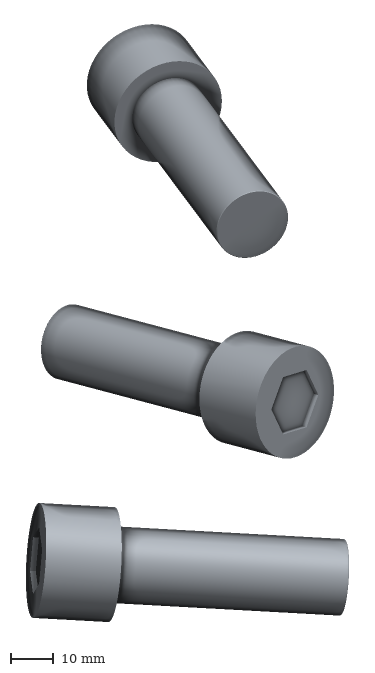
import cadquery as cq
import math

total_length = 73.0
head_diameter = 27.0
shank_diameter = head_diameter / 1.5
head_length = shank_diameter
socket_across_flats = 14.0
socket_depth = 1.4
tip_chamfer = 0.15

socket_across_corners = socket_across_flats / math.cos(math.pi / 6)


def make_head():
    return cq.Workplane("YZ").circle(head_diameter / 2).extrude(head_length)


def make_shank():
    shank = cq.Workplane("YZ").circle(shank_diameter / 2).extrude(total_length)
    return shank.faces(">X").chamfer(tip_chamfer)


def make_socket():
    return cq.Workplane("YZ").polygon(6, socket_across_corners).extrude(socket_depth)


result = make_head().union(make_shank()).cut(make_socket())